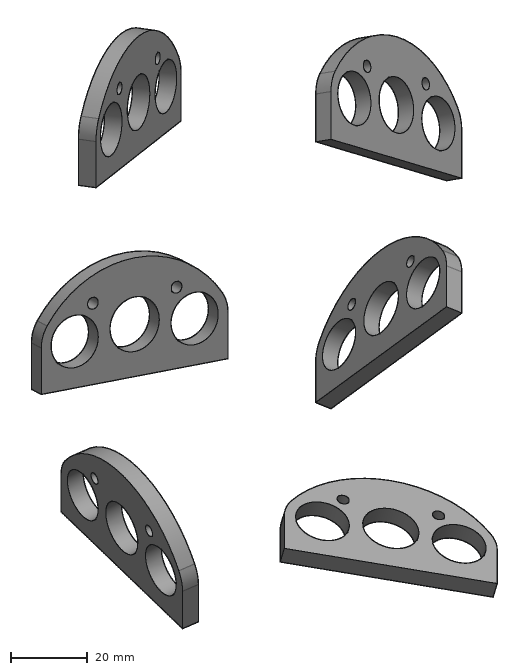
import cadquery as cq
import math

thickness = 5.0
width = 56.95
height = 32.7
crown_radius = 32.3
shoulder_radius = 10.25

center_hole_diameter = 15.0
center_hole_z = 14.4
side_hole_diameter = 14.35
side_hole_y = 18.3
side_hole_z = 12.8
small_hole_diameter = 3.25
small_hole_y = 12.75
small_hole_z = 22.4

half_width = width / 2
crown_center_z = height - crown_radius
shoulder_y = half_width - shoulder_radius
center_distance = crown_radius - shoulder_radius
shoulder_z = crown_center_z + math.sqrt(center_distance**2 - shoulder_y**2)
tangent_angle = math.atan2(shoulder_z - crown_center_z, shoulder_y)


def shoulder_point(angle):
    """Point on the +Y shoulder arc, with the angle measured up from +Y."""
    return (
        shoulder_y + shoulder_radius * math.cos(angle),
        shoulder_z + shoulder_radius * math.sin(angle),
    )


def mirrored(point):
    return (-point[0], point[1])


def make_plate():
    middle = shoulder_point(tangent_angle / 2)
    crown_end = shoulder_point(tangent_angle)
    return (
        cq.Workplane("YZ", origin=(-thickness / 2, 0, 0))
        .moveTo(-half_width, 0)
        .lineTo(half_width, 0)
        .lineTo(half_width, shoulder_z)
        .threePointArc(middle, crown_end)
        .threePointArc((0, height), mirrored(crown_end))
        .threePointArc(mirrored(middle), (-half_width, shoulder_z))
        .close()
        .extrude(thickness)
    )


def make_holes(diameter, centers):
    return (
        cq.Workplane("YZ", origin=(-thickness / 2, 0, 0))
        .pushPoints(centers)
        .circle(diameter / 2)
        .extrude(thickness)
    )


def mirrored_pair(y, z):
    return [(-y, z), (y, z)]


result = (
    make_plate()
    .cut(make_holes(center_hole_diameter, [(0, center_hole_z)]))
    .cut(make_holes(side_hole_diameter, mirrored_pair(side_hole_y, side_hole_z)))
    .cut(make_holes(small_hole_diameter, mirrored_pair(small_hole_y, small_hole_z)))
)